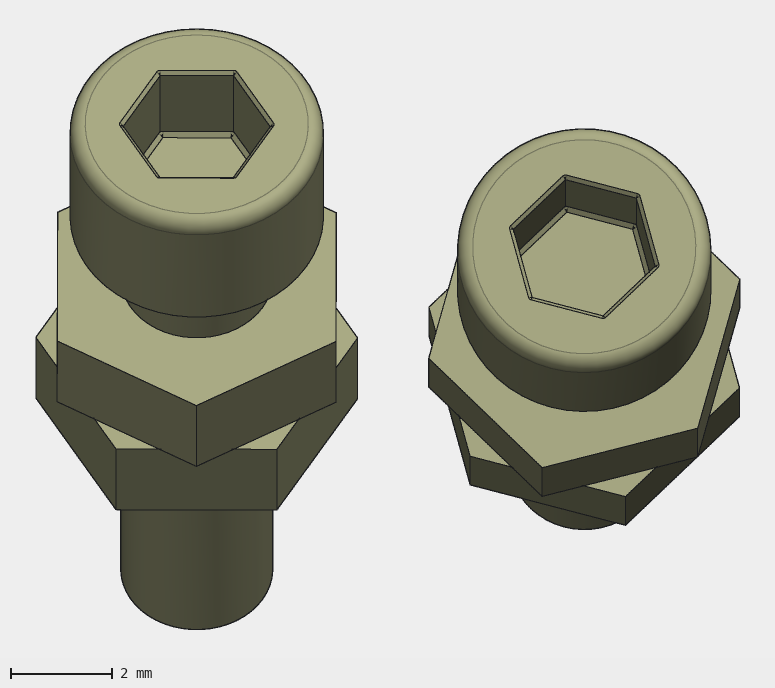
import cadquery as cq
import math

total_length = 15.0
shank_diameter = 3.0
tip_chamfer = 0.4
head_diameter = 5.0
head_height = 3.0
head_round = 0.3
shank_length = total_length - head_height

socket_flats = 2.5
socket_depth = 2.0
mouth_bevel = 0.08
floor_bevel = 0.09
bevel_angle = 45

nut_flats = 5.49
nut_height = 2.0
lower_nut_base = 6.0
hex_turn = 30
nut_turns = (hex_turn, 0)


def hexagon(flats, base_z, turn):
    """Hexagon sketch at base_z; its first corner is turned from +X by turn degrees."""
    corner_diameter = flats / math.cos(math.pi / 6)
    plane = cq.Workplane("XY", origin=(0, 0, base_z))
    return plane.transformed(rotate=(0, 0, turn)).polygon(6, corner_diameter)


def make_screw():
    shank = cq.Workplane("XY").circle(shank_diameter / 2).extrude(shank_length)
    shank = shank.faces("<Z").chamfer(tip_chamfer)
    head = cq.Workplane("XY", origin=(0, 0, shank_length))
    head = head.circle(head_diameter / 2).extrude(head_height)
    head = head.faces(">Z").edges().fillet(head_round)
    return shank.union(head)


def make_socket():
    floor_z = total_length - socket_depth
    wall_base_z = floor_z + floor_bevel
    wall_top_z = total_length - mouth_bevel
    floor_flats = socket_flats - 2 * floor_bevel * math.tan(math.radians(bevel_angle))

    floor_part = hexagon(floor_flats, floor_z, hex_turn).extrude(floor_bevel, taper=-bevel_angle)
    wall_part = hexagon(socket_flats, wall_base_z, hex_turn).extrude(wall_top_z - wall_base_z)
    mouth_part = hexagon(socket_flats, wall_top_z, hex_turn).extrude(mouth_bevel, taper=-bevel_angle)
    return floor_part.union(wall_part).union(mouth_part)


result = make_screw()
for level, turn in enumerate(nut_turns):
    nut = hexagon(nut_flats, lower_nut_base + level * nut_height, turn).extrude(nut_height)
    result = result.union(nut)
result = result.cut(make_socket())